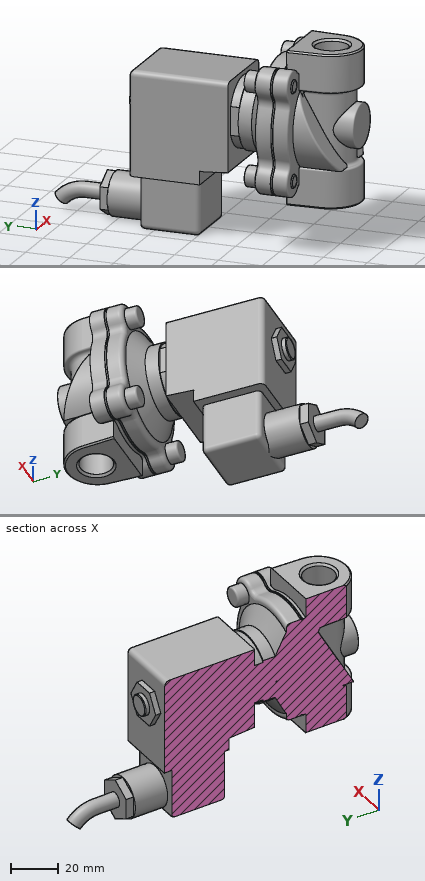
import cadquery as cq
import math


overall_width = 56.49
overall_length = 139.67
overall_height = 88.5

port_radius = 14.3
column_centre_y = 0.5
port_back = 14.7
port_inner_z = 17.1
port_outer_z = 34.55
port_edge_fillet = 0.9
port_mouth_chamfer = 0.7
draft_angle = 2.9
bore_radius = 7.4
bore_depth = 14.0
bore_chamfer = 1.0
pipe_radius = 11.2
upper_root_fillet = 1.9
lower_root_fillet = 1.5
selection_margin = 1.0
plug_radius = 10.0
plug_front = -13.8
plug_edge_fillet = 0.5
bowl_radius = 21.8
bowl_edge_fillet = 0.8
slope_high_y = 9.4
slope_low_y = -9.6

flange_radius = 27.65
bolt_circle_radius = 30.0
bolt_offset = bolt_circle_radius / math.sqrt(2)
ear_radius = overall_width / 2 - bolt_offset
ear_root_fillet = 4.7
flange_front = 9.2
gasket_front = 16.2
gasket_back = 17.0
gasket_inset = 0.35
cover_back = 24.6
flange_edge_fillet = 0.7
cover_edge_fillet = 2.0
screw_tip_radius = 3.1
screw_tip_front = 8.6
screw_tip_chamfer = 0.5
screw_head_radius = 4.7
screw_head_back = 30.1
screw_head_fillet = 0.9

cone_base_radius = 24.5
neck_radius = 16.6
neck_back = 36.2
collar_radius = 16.0
collar_flat_x = 14.65
coil_front = 40.4

coil_back = 85.7
coil_half_width = 18.0
coil_top = 17.95
coil_bottom = -29.2
coil_fillet = 2.5
notch_back = 53.2
notch_front_z = -22.3
notch_back_z = -23.2
nut_across_flats = 17.0
nut_back = 88.3
stud_radius = 5.0
stud_back = 90.5
stud_chamfer = 0.4

connector_front = 55.0
connector_back = 82.4
connector_half_width = 13.75
connector_bottom = port_outer_z - overall_height
connector_fillet = 2.2
gland_radius = 10.0
gland_z = connector_bottom + gland_radius
gland_back = 98.6
gland_nut_back = 102.4
cable_radius = 3.5
cable_bend_radius = 15.0
cable_bend_angle = math.radians(48.0)
cable_end = plug_front + overall_length
cable_bend_start = cable_end - (cable_bend_radius + cable_radius) * math.sin(cable_bend_angle)


def section_at(y):
    """Sketch plane across the coil axis at station y, extruding toward +Y."""
    return cq.Workplane(cq.Plane(origin=(0, y, 0), xDir=(-1, 0, 0), normal=(0, 1, 0)))


def disc(radius, front, back, z=0.0):
    return section_at(front).center(0, z).circle(radius).extrude(back - front)


def box(x_half, y_span, z_span):
    size = (2 * x_half, y_span[1] - y_span[0], z_span[1] - z_span[0])
    return cq.Workplane("XY").box(*size, centered=(True, False, False)).translate((0, y_span[0], z_span[0]))


def u_column(radius, back, z_low, z_high):
    """Upright column: front rounded about column_centre_y, sides drafted outward to a flat back."""
    draft = math.radians(draft_angle)
    tangent_x = radius * math.cos(draft)
    tangent_y = column_centre_y - radius * math.sin(draft)
    back_x = tangent_x + (back - tangent_y) * math.tan(draft)
    return (
        cq.Workplane("XY", origin=(0, 0, z_low))
        .moveTo(-back_x, back)
        .lineTo(-tangent_x, tangent_y)
        .threePointArc((0, column_centre_y - radius), (tangent_x, tangent_y))
        .lineTo(back_x, back)
        .close()
        .extrude(z_high - z_low)
    )


def bolt_points():
    return [(x, z) for x in (-bolt_offset, bolt_offset) for z in (-bolt_offset, bolt_offset)]


def flange_plate(front, back, inset=0.0):
    """Round plate with four bolt ears blended into its rim."""
    depth = back - front
    plate = section_at(front).circle(flange_radius - inset).extrude(depth)
    ears = section_at(front).pushPoints(bolt_points()).circle(ear_radius - inset).extrude(depth)
    return plate.union(ears).edges("|Y").fillet(ear_root_fillet + inset)


def make_bowl():
    """Round body cut by a plane that slopes from the upper to the lower port."""
    profile = (
        cq.Workplane("YZ", origin=(-bowl_radius, 0, 0))
        .moveTo(gasket_front, port_inner_z)
        .lineTo(slope_high_y, port_inner_z)
        .lineTo(slope_low_y, -port_inner_z)
        .lineTo(gasket_front, -port_inner_z)
        .close()
        .extrude(2 * bowl_radius)
    )
    bowl = disc(bowl_radius, slope_low_y, gasket_front).intersect(profile)
    return bowl.faces("<Y").edges("not |X").fillet(bowl_edge_fillet)


def make_slope_root():
    """Concave fillet between the sloped face and the underside of the upper port block."""
    angle = math.atan2(2 * port_inner_z, slope_high_y - slope_low_y)
    tangent_length = upper_root_fillet / math.tan(angle / 2)
    middle_length = upper_root_fillet / math.sin(angle / 2) - upper_root_fillet

    def from_corner(length, direction):
        return (slope_high_y - length * math.cos(direction), port_inner_z - length * math.sin(direction))

    half_width = port_radius - port_edge_fillet
    return (
        cq.Workplane("YZ", origin=(-half_width, 0, 0))
        .moveTo(slope_high_y, port_inner_z)
        .lineTo(*from_corner(tangent_length, 0))
        .threePointArc(from_corner(middle_length, angle / 2), from_corner(tangent_length, angle))
        .close()
        .extrude(2 * half_width)
    )


def pipe_root(z):
    """Selects the edges where the pipe meets a port block at height z."""
    half_width = pipe_radius + selection_margin
    low = (-half_width, -half_width, z - selection_margin / 2)
    high = (half_width, port_back + selection_margin, z + selection_margin / 2)
    return cq.selectors.BoxSelector(low, high, boundingbox=True)


def make_port_column():
    """Both port blocks joined by the narrower pipe, with the front plug."""
    upper = u_column(port_radius, port_back, port_inner_z, port_outer_z)
    upper = upper.faces(">Z").edges("not >Y").chamfer(port_mouth_chamfer)
    upper = upper.faces("<Z").edges("not >Y").fillet(port_edge_fillet)
    lower = upper.mirror("XY")
    pipe = u_column(pipe_radius, port_back, -port_inner_z, port_inner_z)
    plug = disc(plug_radius, plug_front, 0).faces("<Y").edges().fillet(plug_edge_fillet)
    column = upper.union(lower).union(pipe)
    column = column.edges(pipe_root(port_inner_z)).fillet(upper_root_fillet)
    column = column.edges(pipe_root(-port_inner_z)).fillet(lower_root_fillet)
    return column.union(plug)


def make_bore():
    """Blind bore of the upper port block, with a chamfered mouth at the top."""
    floor_z = port_outer_z - bore_depth
    bore = cq.Workplane("XY", origin=(0, 0, floor_z)).circle(bore_radius).extrude(bore_depth)
    mouth = (
        cq.Workplane("XY", origin=(0, 0, port_outer_z - bore_chamfer))
        .circle(bore_radius)
        .workplane(offset=bore_chamfer)
        .circle(bore_radius + bore_chamfer)
        .loft()
    )
    return bore.union(mouth)


def make_flanges():
    body_flange = flange_plate(flange_front, gasket_front)
    body_flange = body_flange.faces("<Y").edges().fillet(flange_edge_fillet)
    gasket = flange_plate(gasket_front, gasket_back, gasket_inset)
    cover = flange_plate(gasket_back, cover_back)
    cover = cover.faces(">Y").edges().fillet(cover_edge_fillet)
    return body_flange.union(gasket).union(cover)


def make_screws():
    heads = section_at(cover_back).pushPoints(bolt_points()).circle(screw_head_radius)
    heads = heads.extrude(screw_head_back - cover_back).faces(">Y").edges().fillet(screw_head_fillet)
    tips = section_at(screw_tip_front).pushPoints(bolt_points()).circle(screw_tip_radius)
    tips = tips.extrude(gasket_front - screw_tip_front).faces("<Y").edges().chamfer(screw_tip_chamfer)
    return heads.union(tips)


def make_neck():
    cone = (
        section_at(cover_back)
        .circle(cone_base_radius)
        .workplane(offset=screw_head_back - cover_back)
        .circle(neck_radius)
        .loft()
    )
    neck = disc(neck_radius, screw_head_back, neck_back)
    flats = box(collar_flat_x, (neck_back, coil_front), (-collar_radius, collar_radius))
    collar = disc(collar_radius, neck_back, coil_front).intersect(flats)
    return cone.union(neck).union(collar)


def make_coil():
    housing = box(coil_half_width, (coil_front, coil_back), (coil_bottom, coil_top))
    housing = housing.faces(">Z").edges("|Y").fillet(coil_fillet)
    housing = housing.faces(">Y").edges("not <Z").fillet(coil_fillet)
    notch = (
        cq.Workplane("YZ", origin=(-coil_half_width, 0, 0))
        .moveTo(coil_front, coil_bottom)
        .lineTo(notch_back, coil_bottom)
        .lineTo(notch_back, notch_back_z)
        .lineTo(coil_front, notch_front_z)
        .close()
        .extrude(2 * coil_half_width)
    )
    nut_corner_diameter = nut_across_flats / math.cos(math.pi / 6)
    nut = section_at(coil_back).polygon(6, nut_corner_diameter).extrude(nut_back - coil_back)
    stud = disc(stud_radius, nut_back, stud_back).faces(">Y").edges().chamfer(stud_chamfer)
    return housing.cut(notch).union(nut).union(stud)


def make_connector():
    shell = box(connector_half_width, (connector_front, connector_back), (connector_bottom, coil_bottom))
    shell = shell.edges("|Z or <Z").fillet(connector_fillet)
    gland = disc(gland_radius, connector_back - 2 * connector_fillet, gland_back, gland_z)
    gland_nut = (
        section_at(gland_back)
        .center(0, gland_z)
        .transformed(rotate=(0, 0, 90))
        .polygon(6, 2 * gland_radius)
        .extrude(gland_nut_back - gland_back)
    )
    return shell.union(gland).union(gland_nut)


def make_cable():
    """Straight cable end that bends downward."""
    straight = disc(cable_radius, gland_nut_back, cable_bend_start, gland_z)
    bend = (
        section_at(cable_bend_start)
        .center(0, gland_z)
        .circle(cable_radius)
        .revolve(math.degrees(cable_bend_angle), (-1, -cable_bend_radius), (1, -cable_bend_radius))
    )
    return straight.union(bend)


upper_bore = make_bore()
valve_body = make_port_column().union(make_bowl()).union(make_slope_root()).union(make_flanges())
valve_body = valve_body.cut(upper_bore).cut(upper_bore.mirror("XY"))

result = valve_body
for component in (make_screws(), make_neck(), make_coil(), make_connector(), make_cable()):
    result = result.union(component)